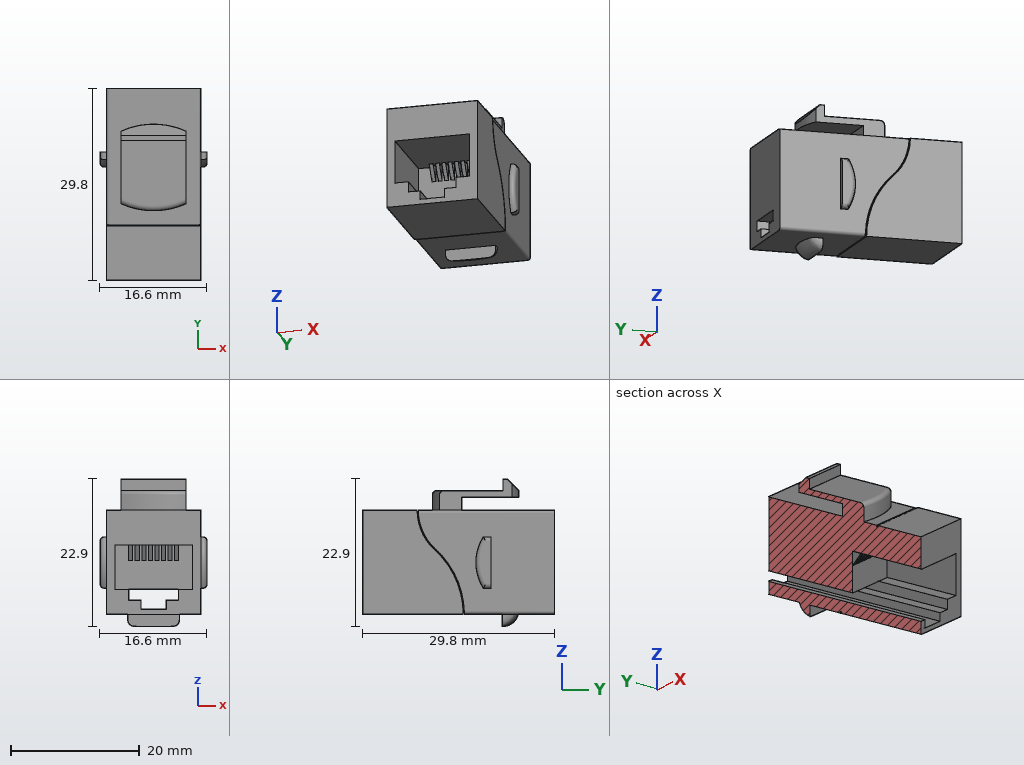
import cadquery as cq
import math

BODY_WIDTH = 14.65
BODY_LENGTH = 29.8
BODY_HEIGHT = 16.18
REAR_EDGE_RADIUS = 0.5

JOINT_TOP_Y = 8.65
JOINT_BOTTOM_Y = 15.8
JOINT_UPPER_RADIUS = 8.22
GROOVE_WIDTH = 0.18
GROOVE_DEPTH = 0.25

SOCKET_WIDTH = 12.05
SOCKET_FLOOR = 3.87
SOCKET_TOP = 10.8
SOCKET_DEPTH = 13.4
UPPER_SLOT_WIDTH = 7.7
UPPER_SLOT_FLOOR = 2.2
LOWER_SLOT_WIDTH = 3.9
LOWER_SLOT_FLOOR = 0.8

CONTACT_COUNT = 8
CONTACT_WIDTH = 0.63
CONTACT_PITCH = 1.0
CONTACT_DROP = 2.38
CONTACT_LENGTH = 1.65

CLIP_WIDTH = 10.13
CLIP_FRONT_Y = 10.82
CLIP_REAR_Y = 24.25
CLIP_BULGE = 1.1
CLIP_LEG_REAR_Y = 15.4
CLIP_UNDERSIDE = BODY_HEIGHT + 2.0
CLIP_PLATE_TOP = BODY_HEIGHT + 3.05
CLIP_LIP_TOP = BODY_HEIGHT + 4.8
CLIP_LIP_FRONT_Y = 21.75
CLIP_LIP_THICKNESS = 0.75
CLIP_NOSE_RADIUS = 0.72

FIN_PROJECTION = 0.98
FIN_HEIGHT = 8.0
FIN_CENTRE_Z = 8.05
FIN_REAR_Y = 19.95
FIN_SIDE_LENGTH = 1.2
FIN_BULGE = 1.15
FIN_EDGE_RADIUS = 0.7

CATCH_WIDTH = 8.05
CATCH_DROP = 1.9
CATCH_FRONT_Y = 21.65
CATCH_REAR_Y = 24.17
CATCH_BULGE_RADIUS = 11.92
CATCH_EDGE_RADIUS = 1.0

EMBED = 0.3


def centred_box(width, y0, y1, z0, z1):
    """Box centred on X = 0 between the given Y and Z limits."""
    corner = (-width / 2, y0, z0)
    return cq.Workplane("XY").box(width, y1 - y0, z1 - z0, centered=False).translate(corner)


def side_profile(width):
    """Sketch plane at X = -width / 2 whose local axes are Y and Z."""
    return cq.Workplane("YZ", origin=(-width / 2, 0, 0))


def rear_region():
    """Everything behind the joint: two tangent arcs, upright at top and bottom."""
    run = JOINT_BOTTOM_Y - JOINT_TOP_Y
    sweep = 2 * math.atan(run / BODY_HEIGHT)
    lower_radius = BODY_HEIGHT / math.sin(sweep) - JOINT_UPPER_RADIUS

    def upper_point(angle):
        y = JOINT_TOP_Y + JOINT_UPPER_RADIUS * (1 - math.cos(angle))
        return y, BODY_HEIGHT - JOINT_UPPER_RADIUS * math.sin(angle)

    def lower_point(angle):
        y = JOINT_BOTTOM_Y - lower_radius * (1 - math.cos(angle))
        return y, lower_radius * math.sin(angle)

    return (
        side_profile(BODY_WIDTH)
        .moveTo(BODY_LENGTH, BODY_HEIGHT)
        .lineTo(JOINT_TOP_Y, BODY_HEIGHT)
        .threePointArc(upper_point(sweep / 2), upper_point(sweep))
        .threePointArc(lower_point(sweep / 2), (JOINT_BOTTOM_Y, 0))
        .lineTo(BODY_LENGTH, 0)
        .close()
        .extrude(BODY_WIDTH)
    )


def make_body():
    block = centred_box(BODY_WIDTH, 0, BODY_LENGTH, 0, BODY_HEIGHT)
    rounded = block.edges("|Y").fillet(REAR_EDGE_RADIUS)
    rear = rear_region()
    body = block.cut(rear).union(rounded.intersect(rear))
    core = centred_box(
        BODY_WIDTH - 2 * GROOVE_DEPTH, 0, BODY_LENGTH, GROOVE_DEPTH, BODY_HEIGHT - GROOVE_DEPTH
    )
    groove = rear.translate((0, -GROOVE_WIDTH, 0)).cut(rear).cut(core)
    return body.cut(groove)


def make_socket():
    main = centred_box(SOCKET_WIDTH, 0, SOCKET_DEPTH, SOCKET_FLOOR, SOCKET_TOP)
    upper = centred_box(UPPER_SLOT_WIDTH, 0, BODY_LENGTH, UPPER_SLOT_FLOOR, SOCKET_FLOOR)
    lower = centred_box(LOWER_SLOT_WIDTH, 0, BODY_LENGTH, LOWER_SLOT_FLOOR, UPPER_SLOT_FLOOR)
    return main.union(upper).union(lower)


def make_contact(centre_x):
    outline = [
        (SOCKET_DEPTH - CONTACT_LENGTH, SOCKET_TOP),
        (SOCKET_DEPTH, SOCKET_TOP - CONTACT_DROP),
        (SOCKET_DEPTH + EMBED, SOCKET_TOP - CONTACT_DROP),
        (SOCKET_DEPTH + EMBED, SOCKET_TOP + EMBED),
        (SOCKET_DEPTH - CONTACT_LENGTH, SOCKET_TOP + EMBED),
    ]
    contact = side_profile(CONTACT_WIDTH).polyline(outline).close().extrude(CONTACT_WIDTH)
    return contact.translate((centre_x, 0, 0))


def make_clip():
    half = CLIP_WIDTH / 2
    plan = (
        cq.Workplane("XY")
        .moveTo(-half, CLIP_FRONT_Y + CLIP_BULGE)
        .threePointArc((0, CLIP_FRONT_Y), (half, CLIP_FRONT_Y + CLIP_BULGE))
        .lineTo(half, CLIP_REAR_Y - CLIP_BULGE)
        .threePointArc((0, CLIP_REAR_Y), (-half, CLIP_REAR_Y - CLIP_BULGE))
        .close()
        .extrude(CLIP_LIP_TOP)
    )
    ramp_top_y = CLIP_LIP_FRONT_Y + CLIP_LIP_THICKNESS
    ramp_run = CLIP_REAR_Y - ramp_top_y
    outline = [
        (CLIP_FRONT_Y, BODY_HEIGHT - EMBED),
        (CLIP_LEG_REAR_Y, BODY_HEIGHT - EMBED),
        (CLIP_LEG_REAR_Y, CLIP_UNDERSIDE),
        (CLIP_REAR_Y, CLIP_UNDERSIDE),
        (CLIP_REAR_Y, CLIP_LIP_TOP - ramp_run),
        (ramp_top_y, CLIP_LIP_TOP),
        (CLIP_LIP_FRONT_Y, CLIP_LIP_TOP),
        (CLIP_LIP_FRONT_Y, CLIP_PLATE_TOP),
        (CLIP_FRONT_Y, CLIP_PLATE_TOP),
    ]
    profile = side_profile(CLIP_WIDTH).polyline(outline).close().extrude(CLIP_WIDTH)
    nose_edge = cq.selectors.NearestToPointSelector((0, CLIP_FRONT_Y, CLIP_PLATE_TOP))
    return profile.intersect(plan).edges(nose_edge).fillet(CLIP_NOSE_RADIUS)


def make_right_fin():
    """Fin on the +X side, rounded everywhere except along its straight rear edge."""
    bottom = FIN_CENTRE_Z - FIN_HEIGHT / 2
    top = FIN_CENTRE_Z + FIN_HEIGHT / 2
    corner_y = FIN_REAR_Y - FIN_SIDE_LENGTH
    fin = (
        cq.Workplane("YZ", origin=(BODY_WIDTH / 2 - EMBED, 0, 0))
        .moveTo(FIN_REAR_Y, bottom)
        .lineTo(FIN_REAR_Y, top)
        .lineTo(corner_y, top)
        .threePointArc((corner_y - FIN_BULGE, FIN_CENTRE_Z), (corner_y, bottom))
        .close()
        .extrude(FIN_PROJECTION + EMBED)
    )
    return fin.faces(">X").edges("not >Y").fillet(FIN_EDGE_RADIUS)


def make_catch():
    """Catch whose rear face is an arc that runs out level at the front face.

    The arc is turned about an upright axis, so that the catch also bulges at mid-width.
    """
    length = CATCH_REAR_Y - CATCH_FRONT_Y
    arc_radius = (length**2 + CATCH_DROP**2) / (2 * CATCH_DROP)
    centre_z = arc_radius - CATCH_DROP
    axis_y = CATCH_REAR_Y - CATCH_BULGE_RADIUS
    front_radius = CATCH_FRONT_Y - axis_y

    def arc_point(angle):
        return front_radius + arc_radius * math.cos(angle), centre_z - arc_radius * math.sin(angle)

    root_angle = math.asin((centre_z - EMBED) / arc_radius)
    disc = (
        cq.Workplane("XZ")
        .lineTo(0, -CATCH_DROP)
        .lineTo(front_radius, -CATCH_DROP)
        .threePointArc(arc_point((root_angle + math.pi / 2) / 2), arc_point(root_angle))
        .lineTo(0, EMBED)
        .close()
        .revolve(360, (0, 0, 0), (0, 1, 0))
        .translate((0, axis_y, 0))
    )
    limits = centred_box(CATCH_WIDTH, CATCH_FRONT_Y, BODY_LENGTH, -CATCH_DROP, EMBED)
    catch = disc.intersect(limits)
    return catch.faces("<X or >X").edges("not (|Y or |Z)").fillet(CATCH_EDGE_RADIUS)


fin = make_right_fin()
result = make_body().cut(make_socket())
for index in range(CONTACT_COUNT):
    result = result.union(make_contact((index - (CONTACT_COUNT - 1) / 2) * CONTACT_PITCH))
result = result.union(make_clip()).union(fin).union(fin.mirror("YZ")).union(make_catch())